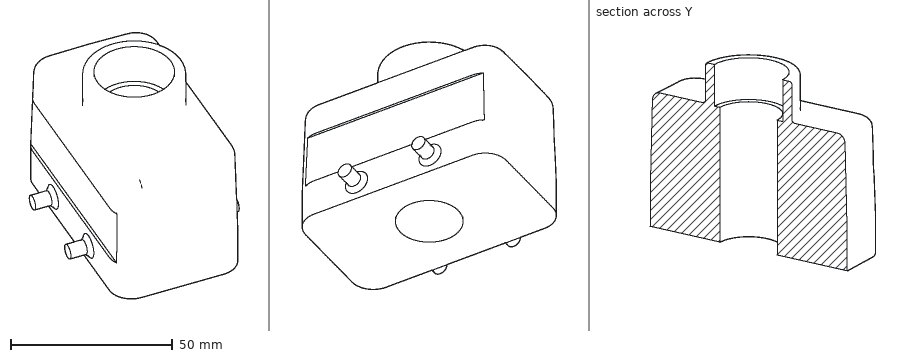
import math

import cadquery as cq

base_length = 72.6
base_width = 43.1
corner_radius = 7.6
roof_corner_radius = 7.4
band_height = 13.1
draft_angle = 1.5
ridge_height = 45.0
roof_slope = 1.0
roof_fillet = 3.0

panel_top = 32.0
panel_inset = 0.95
panel_draft = 1.2

collar_top = 58.5
collar_diameter = 32.0
collar_rim_fillet = 1.0
collar_foot_fillet = 1.0
bore_diameter = 25.0
bore_floor = 44.7
passage_diameter = 21.0

pin_span = 57.2
pin_spacing = 26.6
pin_height = 6.25
pin_diameter = 4.8
pin_foot_diameter = 8.0
pin_foot_length = 1.5

selection_margin = 0.1


def lean(height, angle):
    """Sideways shift of a leaning wall over the given height."""
    return height * math.tan(math.radians(angle))


def rounded_outline(z, inset, radius):
    """Outline of the hood at height z, drawn in on all sides by inset, with rounded corners."""
    return (
        cq.Sketch()
        .rect(base_length - 2 * inset, base_width - 2 * inset)
        .vertices()
        .fillet(radius)
        .moved(cq.Location(cq.Vector(0, 0, z)))
    )


def make_band():
    """Straight-sided foot of the hood."""
    return cq.Workplane("XY").placeSketch(rounded_outline(0, 0, corner_radius)).extrude(band_height)


def make_upper_body():
    """Leaning walls closed by a shallow gable roof with rounded edges."""
    top_inset = lean(ridge_height - band_height, draft_angle)
    walls = (
        cq.Workplane("XY")
        .placeSketch(
            rounded_outline(band_height, 0, corner_radius),
            rounded_outline(ridge_height, top_inset, roof_corner_radius),
        )
        .loft(ruled=True)
    )
    half_width = base_width / 2
    eaves_height = ridge_height - lean(half_width, roof_slope)
    gable = (
        cq.Workplane("YZ")
        .moveTo(-half_width, 0)
        .lineTo(half_width, 0)
        .lineTo(half_width, eaves_height)
        .lineTo(0, ridge_height)
        .lineTo(-half_width, eaves_height)
        .close()
        .extrude(base_length / 2, both=True)
    )
    roof_edges = cq.selectors.BoxSelector(
        (-base_length, -base_width, eaves_height - roof_fillet),
        (base_length, base_width, ridge_height + roof_fillet),
    )
    ridge_line = cq.selectors.BoxSelector(
        (-selection_margin, -selection_margin, ridge_height - selection_margin),
        (selection_margin, selection_margin, ridge_height + selection_margin),
    )
    return walls.intersect(gable).edges(roof_edges - ridge_line).fillet(roof_fillet)


def make_panel_cut(side):
    """Wedge removed from one long side; side is -1 for the front, +1 for the back."""
    foot_y = base_width / 2 - panel_inset
    head_y = foot_y - lean(panel_top - band_height, panel_draft)
    return (
        cq.Workplane("YZ")
        .moveTo(side * foot_y, band_height)
        .lineTo(side * base_width, band_height)
        .lineTo(side * base_width, panel_top)
        .lineTo(side * head_y, panel_top)
        .close()
        .extrude(base_length / 2, both=True)
    )


def add_collar(hood):
    """Join the collar to the roof and blend its foot into the roof faces."""
    collar_root = band_height
    collar = (
        cq.Workplane("XY", origin=(0, 0, collar_root))
        .circle(collar_diameter / 2)
        .extrude(collar_top - collar_root)
        .faces(">Z")
        .edges()
        .fillet(collar_rim_fillet)
    )
    reach = collar_diameter / 2 + selection_margin
    foot_edges = cq.selectors.BoxSelector(
        (-reach, -reach, ridge_height - roof_fillet),
        (reach, reach, ridge_height + selection_margin),
        boundingbox=True,
    )
    return hood.union(collar).edges(foot_edges).fillet(collar_foot_fillet)


def make_cable_passage():
    """Stepped hole running down the collar axis and out through the foot."""
    bore = (
        cq.Workplane("XY", origin=(0, 0, bore_floor))
        .circle(bore_diameter / 2)
        .extrude(collar_top - bore_floor)
    )
    passage = cq.Workplane("XY").circle(passage_diameter / 2).extrude(bore_floor)
    return bore.union(passage)


def make_pin(x, side):
    """Pin with a conical foot, pointing out of one long side and rooted in the wall."""
    wall_y = base_width / 2
    root_y = wall_y - corner_radius
    tip_y = pin_span / 2
    foot_radius = pin_foot_diameter / 2
    pin_radius = pin_diameter / 2
    profile = (
        cq.Workplane("XY")
        .moveTo(0, root_y)
        .lineTo(foot_radius, root_y)
        .lineTo(foot_radius, wall_y)
        .lineTo(pin_radius, wall_y + pin_foot_length)
        .lineTo(pin_radius, tip_y)
        .lineTo(0, tip_y)
        .close()
    )
    pin = profile.revolve(360, (0, 0, 0), (0, 1, 0))
    if side < 0:
        pin = pin.mirror("XZ")
    return pin.translate((x, 0, pin_height))


hood = make_band().union(make_upper_body())
hood = add_collar(hood)
for side in (-1, 1):
    hood = hood.cut(make_panel_cut(side))
hood = hood.cut(make_cable_passage())
for side in (-1, 1):
    for x in (-pin_spacing / 2, pin_spacing / 2):
        hood = hood.union(make_pin(x, side))

result = hood